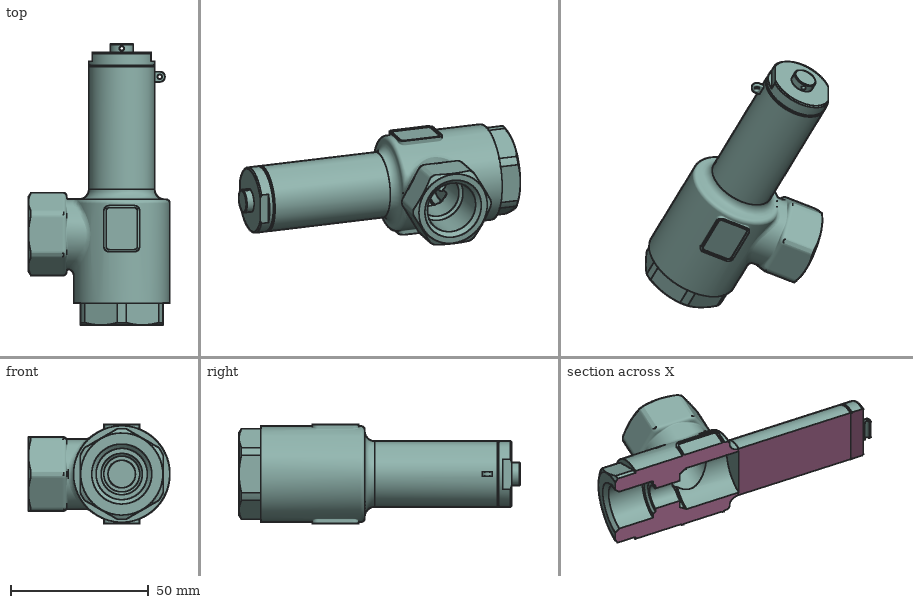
import cadquery as cq
import math


barrel_radius = 17.5
barrel_bottom = -25.0
barrel_top = 12.7
barrel_rounding = 1.6
collar_top = 16.2
bonnet_radius = 12.0
collar_fillet = collar_top - barrel_top

inlet_end = -33.0
inlet_flats = 30.0
inlet_corner_radius = 16.5
inlet_face_radius = 14.9
hex_chamfer_angle = math.radians(30)

outlet_end = -34.0
outlet_back = -19.9
outlet_flats = 27.0
outlet_corner_radius = 15.05
outlet_corner_rounding = 3.0
outlet_back_rounding = 1.6
outlet_root_fillet = 0.5
outlet_face_radius = 13.2
neck_radius = 12.8
neck_fillet = 2.0
neck_start = outlet_back - outlet_back_rounding

thread_radius = 9.3
mouth_radius = 10.9
mouth_depth = mouth_radius - thread_radius
inlet_thread_depth = 15.0
seat_outer_radius = 7.5
seat_inner_radius = 6.5
seat_depth = 1.0
port_radius = 5.0
outlet_thread_depth = 15.0
outlet_port_radius = 8.0
outlet_cone_depth = 0.75
chamber_radius = 10.4
chamber_bottom = -4.7
ledge_radius = 10.0
ledge_bottom = -5.2
funnel_floor = -7.2
funnel_radius = 8.4

plate_width = 13.0
plate_bottom = -6.4
plate_top = 10.4
plate_face = 18.0
plate_corner = 2.0
plate_rim = 0.8
plate_recess = 0.3
plate_root_fillet = 0.3
plate_root = math.sqrt(barrel_radius**2 - (plate_width / 2) ** 2)

bonnet_top = 61.0
edge_chamfer = 0.3
cap_rim_bottom = 61.3
cap_top = 66.0
cap_relief_radius = 11.6
cap_chamfer = 0.5
cap_flat_distance = 10.7
cap_flat_bottom = 62.8
stem_radius = 4.25
stem_top = 69.0
stem_hole_radius = 0.8
stem_hole_height = 67.4

lug_center_x = 13.8
lug_center_y = 57.1
lug_radius = 1.9
lug_hole_radius = 0.8
lug_thickness = 1.6
lug_edge_fillet = 0.35
lug_embed = 1.0

box_margin = 0.1


def turned(points):
    """Revolve a closed (radius, y) outline about the Y axis."""
    return cq.Workplane("XY").polyline(points).close().revolve(360, (0, 0, 0), (0, 1, 0))


def along_outlet(points):
    """Revolve a closed (x, radius) outline about the X axis."""
    return cq.Workplane("XY").polyline(points).close().revolve(360, (0, 0, 0), (1, 0, 0))


def cylinder_y(radius, bottom, top):
    return cq.Workplane("XZ", origin=(0, bottom, 0)).circle(radius).extrude(bottom - top)


def make_barrel():
    inner_x = bonnet_radius + collar_fillet
    turn = math.sqrt(0.5)
    outline = (
        cq.Workplane("XY")
        .moveTo(0, barrel_bottom)
        .lineTo(barrel_radius, barrel_bottom)
        .lineTo(barrel_radius, barrel_top - barrel_rounding)
        .threePointArc(
            (barrel_radius - barrel_rounding * (1 - turn), barrel_top - barrel_rounding * (1 - turn)),
            (barrel_radius - barrel_rounding, barrel_top),
        )
        .lineTo(inner_x, barrel_top)
        .threePointArc(
            (inner_x - collar_fillet * turn, collar_top - collar_fillet * turn),
            (bonnet_radius, collar_top),
        )
        .lineTo(0, collar_top)
        .close()
    )
    return outline.revolve(360, (0, 0, 0), (0, 1, 0))


def make_inlet_hex():
    corner = inlet_flats / math.cos(math.radians(30))
    prism = (
        cq.Workplane("XZ", origin=(0, inlet_end, 0))
        .polygon(6, corner)
        .extrude(inlet_end - barrel_bottom)
        .rotate((0, 0, 0), (0, 1, 0), 30)
    )
    chamfer = (inlet_corner_radius - inlet_face_radius) * math.tan(hex_chamfer_angle)
    envelope = turned([
        (0, inlet_end),
        (inlet_face_radius, inlet_end),
        (inlet_corner_radius, inlet_end + chamfer),
        (inlet_corner_radius, barrel_bottom),
        (0, barrel_bottom),
    ])
    return prism.intersect(envelope)


def make_outlet_hex():
    corner = outlet_flats / math.cos(math.radians(30))
    prism = (
        cq.Workplane("YZ", origin=(outlet_end, 0, 0))
        .polygon(6, corner)
        .extrude(outlet_back - outlet_end)
        .edges("|X").fillet(outlet_corner_rounding)
        .faces(">X").edges().fillet(outlet_back_rounding)
    )
    chamfer = (outlet_corner_radius - outlet_face_radius) * math.tan(hex_chamfer_angle)
    envelope = along_outlet([
        (outlet_end, 0),
        (outlet_end, outlet_face_radius),
        (outlet_end + chamfer, outlet_corner_radius),
        (outlet_back, outlet_corner_radius),
        (outlet_back, 0),
    ])
    return prism.intersect(envelope)


def make_name_plate():
    """Plate with a raised rim on the +Z side of the barrel."""
    middle_y = (plate_bottom + plate_top) / 2
    height = plate_top - plate_bottom
    plate = (
        cq.Workplane("XY", origin=(0, middle_y, 0))
        .workplane(offset=neck_radius)
        .rect(plate_width, height)
        .extrude(plate_face - neck_radius)
        .edges("|Z").fillet(plate_corner)
    )
    recess = (
        cq.Workplane("XY", origin=(0, middle_y, plate_face - plate_recess))
        .rect(plate_width - 2 * plate_rim, height - 2 * plate_rim)
        .extrude(plate_recess)
        .edges("|Z").fillet(plate_corner - plate_rim)
    )
    return plate.cut(recess)


def make_inlet_bore():
    thread_end = inlet_end + inlet_thread_depth
    return turned([
        (0, inlet_end),
        (mouth_radius, inlet_end),
        (thread_radius, inlet_end + mouth_depth),
        (thread_radius, thread_end),
        (seat_outer_radius, thread_end),
        (seat_inner_radius, thread_end + seat_depth),
        (port_radius, thread_end + seat_depth),
        (port_radius, funnel_floor),
        (funnel_radius, funnel_floor),
        (ledge_radius, ledge_bottom),
        (ledge_radius, chamber_bottom),
        (chamber_radius, chamber_bottom),
        (chamber_radius, collar_top),
        (0, collar_top),
    ])


def make_outlet_bore():
    thread_end = outlet_end + outlet_thread_depth
    return along_outlet([
        (outlet_end, 0),
        (outlet_end, mouth_radius),
        (outlet_end + mouth_depth, thread_radius),
        (thread_end, thread_radius),
        (thread_end + outlet_cone_depth, outlet_port_radius),
        (0, outlet_port_radius),
        (0, 0),
    ])


def box_around(x_range, y_range, z_range):
    """Pick edges whose centers lie in a box, widened by a small margin."""
    ranges = (x_range, y_range, z_range)
    low = tuple(low_end - box_margin for low_end, high_end in ranges)
    high = tuple(high_end + box_margin for low_end, high_end in ranges)
    return cq.selectors.BoxSelector(low, high)


def make_neck_and_barrel():
    neck = cq.Workplane("YZ").circle(neck_radius).extrude(neck_start)
    body = make_barrel().union(neck)
    joint = box_around(
        (-barrel_radius + 2 * box_margin, -barrel_radius / 4),
        (-neck_radius, neck_radius),
        (-neck_radius, neck_radius),
    )
    return body.edges(joint).fillet(neck_fillet)


def add_outlet_hex(body):
    body = body.union(make_outlet_hex())
    joint = box_around(
        (outlet_back - outlet_back_rounding / 2, outlet_back),
        (-neck_radius, neck_radius),
        (-neck_radius, neck_radius),
    )
    return body.edges(joint).fillet(outlet_root_fillet)


def add_name_plates(body):
    plate = make_name_plate()
    body = body.union(plate).union(plate.mirror("XY"))
    for root_heights in ((-barrel_radius, -plate_root), (plate_root, barrel_radius)):
        joint = box_around(
            (-plate_width / 2, plate_width / 2),
            (plate_bottom, plate_top),
            root_heights,
        )
        body = body.edges("not(|Z)").edges(joint).fillet(plate_root_fillet)
    return body


def make_housing():
    body = make_neck_and_barrel().union(make_inlet_hex())
    body = add_outlet_hex(body)
    body = add_name_plates(body)
    return body.cut(make_inlet_bore()).cut(make_outlet_bore())


def make_lug():
    """Eye for the seal wire, lying in the XY plane."""
    tail = lug_center_x - bonnet_radius + lug_embed
    eye = (
        cq.Workplane("XY", origin=(lug_center_x, lug_center_y, -lug_thickness / 2))
        .moveTo(-tail, -lug_radius)
        .lineTo(0, -lug_radius)
        .threePointArc((lug_radius, 0), (0, lug_radius))
        .lineTo(-tail, lug_radius)
        .close()
        .extrude(lug_thickness)
    )
    hole = (
        cq.Workplane("XY", origin=(lug_center_x, lug_center_y, -lug_thickness / 2))
        .circle(lug_hole_radius)
        .extrude(lug_thickness)
    )
    eye = eye.cut(hole)
    return eye.faces("<Z or >Z").edges("not(<X)").fillet(lug_edge_fillet)


def make_bonnet():
    tube = cylinder_y(bonnet_radius, collar_top, bonnet_top).faces(">Y").chamfer(edge_chamfer)
    return tube.union(make_lug())


def make_cap():
    cap = turned([
        (0, bonnet_top),
        (cap_relief_radius, bonnet_top),
        (cap_relief_radius, cap_rim_bottom),
        (bonnet_radius, cap_rim_bottom),
        (bonnet_radius, cap_top - cap_chamfer),
        (bonnet_radius - cap_chamfer, cap_top),
        (0, cap_top),
    ])
    flat_depth = bonnet_radius - cap_flat_distance
    for side in (-1, 1):
        cutter = (
            cq.Workplane("XY")
            .box(flat_depth, cap_top - cap_flat_bottom, 2 * bonnet_radius)
            .translate((side * (cap_flat_distance + flat_depth / 2), (cap_top + cap_flat_bottom) / 2, 0))
        )
        cap = cap.cut(cutter)
    return cap


def make_stem():
    stem = cylinder_y(stem_radius, cap_top, stem_top).faces(">Y").chamfer(edge_chamfer)
    wire_hole = (
        cq.Workplane("XY", origin=(0, stem_hole_height, -stem_radius))
        .circle(stem_hole_radius)
        .extrude(2 * stem_radius)
    )
    return stem.cut(wire_hole)


housing = make_housing()
bonnet = make_bonnet()
cap = make_cap()
stem = make_stem()

result = cq.Compound.makeCompound([housing.val(), bonnet.val(), cap.val(), stem.val()])